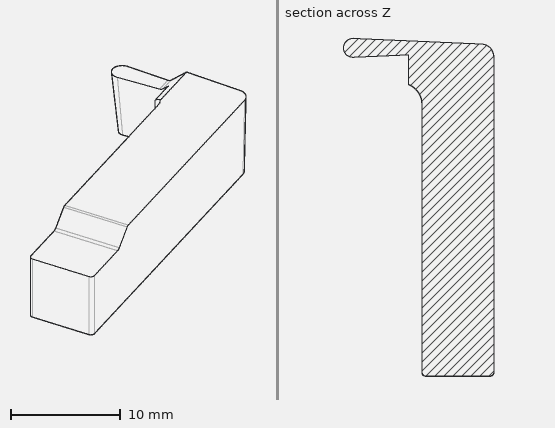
import cadquery as cq
import math

length = 30.9
width = 14.0
height = 8.05
low_height = 6.5

shank_left = 7.42
neck_left = 6.18
neck_start = 26.57
shoulder_end = 24.78
front_corner_radius = 1.17
rear_corner_radius = 0.37

tip_radius = 1.0
flank_angle = math.radians(2.5)
draft_angle = math.radians(2.5)
tip_relief_angle = math.radians(6)
blade_overlap = 0.62

ramp_angle = math.radians(42)
blade_ramp_top = 7.23
rear_ramp_top = 6.77
ramp_foot_radius = 0.5
rear_ramp_top_radius = 0.3

ramp_run = (height - low_height) / math.tan(ramp_angle)
tip_center_y = length - tip_radius
margin = 1.55


def tip_at(z):
    """Centre X and radius of the blade tip at height z."""
    depth = low_height - z
    radius = tip_radius - depth * math.tan(draft_angle)
    tip_x = depth * math.tan(tip_relief_angle)
    return tip_x + radius, radius


def flank_offset(x, z):
    """Distance of a flank from the blade's centre line."""
    center_x, radius = tip_at(z)
    return radius / math.cos(flank_angle) - (x - center_x) * math.tan(flank_angle)


def blade_outline(z):
    center_x, radius = tip_at(z)
    tangent_x = center_x + radius * math.sin(flank_angle)
    tangent_y = radius * math.cos(flank_angle)
    end_x = neck_left + blade_overlap
    end_y = flank_offset(end_x, z)
    return (
        cq.Workplane("XY", origin=(0, tip_center_y, z))
        .moveTo(end_x, end_y)
        .lineTo(tangent_x, tangent_y)
        .threePointArc((center_x - radius, 0), (tangent_x, -tangent_y))
        .lineTo(end_x, -end_y)
        .close()
        .val()
    )


def body_outline(z):
    """Shank and neck; the end face continues the blade's outer flank."""
    arc_depth = shank_left - neck_left
    arc_rise = neck_start - shoulder_end
    radius = (arc_depth**2 + arc_rise**2) / (2 * arc_depth)
    half_sweep = math.asin(arc_rise / radius) / 2
    arc_middle = (
        shank_left - radius * (1 - math.cos(half_sweep)),
        shoulder_end + radius * math.sin(half_sweep),
    )
    return (
        cq.Workplane("XY", origin=(0, 0, z))
        .moveTo(shank_left, 0)
        .lineTo(width, 0)
        .lineTo(width, tip_center_y + flank_offset(width, z))
        .lineTo(neck_left, tip_center_y + flank_offset(neck_left, z))
        .lineTo(neck_left, neck_start)
        .threePointArc(arc_middle, (shank_left, shoulder_end))
        .close()
        .val()
    )


def loft_full_height(outline):
    return cq.Workplane(cq.Solid.makeLoft([outline(0), outline(height)], True))


def fillet_edge_at(solid, edge_middle, radius):
    """Round the single edge whose middle lies nearest to the given point."""
    return solid.edges(cq.selectors.NearestToPointSelector(edge_middle)).fillet(radius)


def ramp_cutter(plane, ramp_top, depth):
    """Material above the low height, up to a ramp that rises along the plane's first axis."""
    foot = ramp_top - ramp_run
    beyond = height + margin
    profile = [
        (-margin, low_height),
        (foot, low_height),
        (ramp_top, height),
        (ramp_top, beyond),
        (-margin, beyond),
    ]
    cutter = cq.Workplane(plane).polyline(profile).close().extrude(depth)
    foot_middle = cutter.plane.toWorldCoords((foot, low_height, depth / 2)).toTuple()
    return fillet_edge_at(cutter, foot_middle, ramp_foot_radius)


body = loft_full_height(body_outline)
front_corner_y = tip_center_y + flank_offset(width, height / 2)
body = fillet_edge_at(body, (width, front_corner_y, height / 2), front_corner_radius)
for corner_x in (shank_left, width):
    body = fillet_edge_at(body, (corner_x, 0, height / 2), rear_corner_radius)

body = body.cut(ramp_cutter("YZ", rear_ramp_top, width + margin))
shank_middle = (shank_left + width) / 2
body = fillet_edge_at(body, (shank_middle, rear_ramp_top, height), rear_ramp_top_radius)

result = body.union(loft_full_height(blade_outline))
result = result.cut(ramp_cutter("XZ", blade_ramp_top, -(length + margin)))